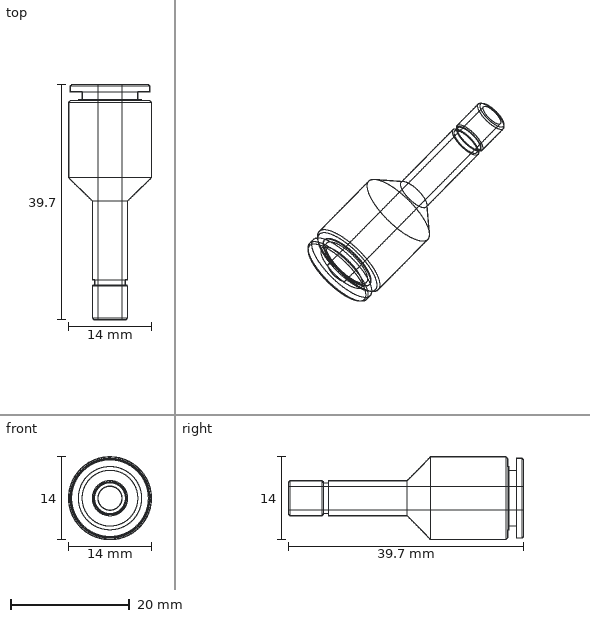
import cadquery as cq

length = 39.7
back_end = length / 2
stem_tip = -length / 2

flange_diameter = 13.5
flange_thickness = 1.25
flange_chamfer = 0.28
collar_diameter = 9.4
flange_inner_face = back_end - flange_thickness

body_diameter = 14.0
body_back = back_end - 2.65
body_length = 13.05
body_chamfer = 0.35
ring_diameter = 10.68
ring_height = 0.15
body_front = body_back - body_length

stem_diameter = 5.95
cone_length = 3.95
cone_front = body_front - cone_length
tip_chamfer = 0.28

groove_diameter = 5.2
groove_width = 0.85
groove_front = stem_tip + 5.9
groove_back = groove_front + groove_width
groove_edge_chamfer = 0.2

bore_diameter = 4.0

flange_radius = flange_diameter / 2
collar_radius = collar_diameter / 2
body_radius = body_diameter / 2
ring_radius = ring_diameter / 2
stem_radius = stem_diameter / 2
groove_radius = groove_diameter / 2
bore_radius = bore_diameter / 2

half_section = [
    (bore_radius, stem_tip),
    (stem_radius - tip_chamfer, stem_tip),
    (stem_radius, stem_tip + tip_chamfer),
    (stem_radius, groove_front - groove_edge_chamfer),
    (stem_radius - groove_edge_chamfer, groove_front),
    (groove_radius, groove_front),
    (groove_radius, groove_back),
    (stem_radius, groove_back),
    (stem_radius, cone_front),
    (body_radius, body_front),
    (body_radius, body_back - body_chamfer),
    (body_radius - body_chamfer, body_back),
    (ring_radius, body_back),
    (ring_radius, body_back + ring_height),
    (collar_radius, body_back + ring_height),
    (collar_radius, flange_inner_face),
    (flange_radius, flange_inner_face),
    (flange_radius, back_end - flange_chamfer),
    (flange_radius - flange_chamfer, back_end),
    (bore_radius, back_end),
]

result = cq.Workplane("XY").polyline(half_section).close().revolve(360, (0, 0, 0), (0, 1, 0))